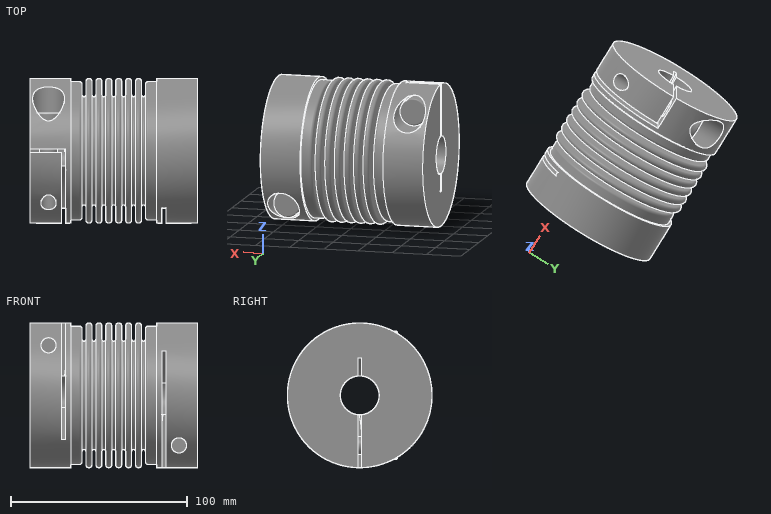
import cadquery as cq
import math


length = 95.0
outer_diameter = 82.0
outer_radius = outer_diameter / 2
bore_radius = 10.9
mid_x = length / 2

hub_length = 23.3
collar_radius = 39.2
collar_fillet = 1.6

convolutions = 6
crest_width = 3.5
root_width = 2.1
root_radius = 30.7
pitch = crest_width + root_width
bellows_length = convolutions * pitch + root_width
bellows_start = mid_x - bellows_length / 2
bellows_end = mid_x + bellows_length / 2

slot_width = 1.9
cross_slot_width = 2.3
slot_depth = 20.3
saw_radius = 50.0
radial_saw_z = 19.2
cross_saw_z = 22.2

screw_x = 10.6
screw_z = 28.3
shank_radius = 5.0
shank_length = 30.0
tapped_radius = 4.3
head_radius = 8.0
head_height = 10.0
head_fillet = 1.0
head_top_y = 21.5
counterbore_radius = 9.0
head_seat_y = head_top_y - head_height
shank_end_y = head_seat_y - shank_length


def make_body():
    """Revolve the solid outline of hubs, collars and bellows about X."""
    crest_arc = crest_width / 2
    root_arc = root_width / 2
    corner_inset = collar_fillet * (1 - math.cos(math.radians(45)))

    outline = (
        cq.Workplane("XY")
        .moveTo(0, 0)
        .lineTo(0, outer_radius)
        .lineTo(hub_length, outer_radius)
        .lineTo(hub_length, collar_radius)
        .lineTo(bellows_start - collar_fillet, collar_radius)
        .threePointArc(
            (bellows_start - corner_inset, collar_radius - corner_inset),
            (bellows_start, collar_radius - collar_fillet),
        )
    )
    x = bellows_start
    for number in range(convolutions + 1):
        outline = (
            outline
            .lineTo(x, root_radius + root_arc)
            .threePointArc((x + root_arc, root_radius), (x + root_width, root_radius + root_arc))
        )
        x += root_width
        if number < convolutions:
            outline = (
                outline
                .lineTo(x, outer_radius - crest_arc)
                .threePointArc((x + crest_arc, outer_radius), (x + crest_width, outer_radius - crest_arc))
            )
            x += crest_width
    outline = (
        outline
        .lineTo(bellows_end, collar_radius - collar_fillet)
        .threePointArc(
            (bellows_end + corner_inset, collar_radius - corner_inset),
            (bellows_end + collar_fillet, collar_radius),
        )
        .lineTo(length - hub_length, collar_radius)
        .lineTo(length - hub_length, outer_radius)
        .lineTo(length, outer_radius)
        .lineTo(length, 0)
        .close()
    )
    return outline.revolve(360, (0, 0, 0), (1, 0, 0))


def y_cylinder(radius, start_y, end_y):
    """Cylinder on the screw axis between two Y positions."""
    return (
        cq.Workplane("XZ", origin=(screw_x, start_y, screw_z))
        .circle(radius)
        .extrude(start_y - end_y)
    )


def saw_cut(plane, deepest, deepest_z):
    """Slot left by a round saw plunged to `deepest` and then drawn out toward +Z."""
    return (
        plane
        .moveTo(deepest - 2 * saw_radius, deepest_z)
        .threePointArc((deepest - saw_radius, deepest_z - saw_radius), (deepest, deepest_z))
        .lineTo(deepest, outer_diameter)
        .lineTo(deepest - 2 * saw_radius, outer_diameter)
        .close()
    )


def make_slots():
    """Radial slot from the hub face, and cross slot behind the -Y jaw."""
    radial = saw_cut(cq.Workplane("XZ"), slot_depth, radial_saw_z).extrude(slot_width / 2, both=True)
    cross_plane = cq.Workplane("YZ", origin=(slot_depth - cross_slot_width, 0, 0))
    cross = saw_cut(cross_plane, slot_width / 2, cross_saw_z).extrude(cross_slot_width)
    return radial.union(cross)


def make_screw():
    """Cap screw with a rounded head edge."""
    head = y_cylinder(head_radius, head_top_y, head_seat_y).faces(">Y").edges().fillet(head_fillet)
    shank = y_cylinder(shank_radius, head_seat_y, shank_end_y)
    return head.union(shank)


def turn_to_far_hub(shape):
    """Half turn about the Y axis through mid-length."""
    return shape.rotate((mid_x, 0, 0), (mid_x, 1, 0), 180)


body = make_body()
bore = cq.Workplane("YZ").circle(bore_radius).extrude(length)
slots = make_slots()
counterbore = y_cylinder(counterbore_radius, outer_radius, head_seat_y)
tapped_hole = y_cylinder(tapped_radius, shank_end_y, -outer_radius)
screw = make_screw()

result = body.cut(bore)
for cutter in (slots, counterbore, tapped_hole):
    result = result.cut(cutter).cut(turn_to_far_hub(cutter))
result = result.union(screw).union(turn_to_far_hub(screw))